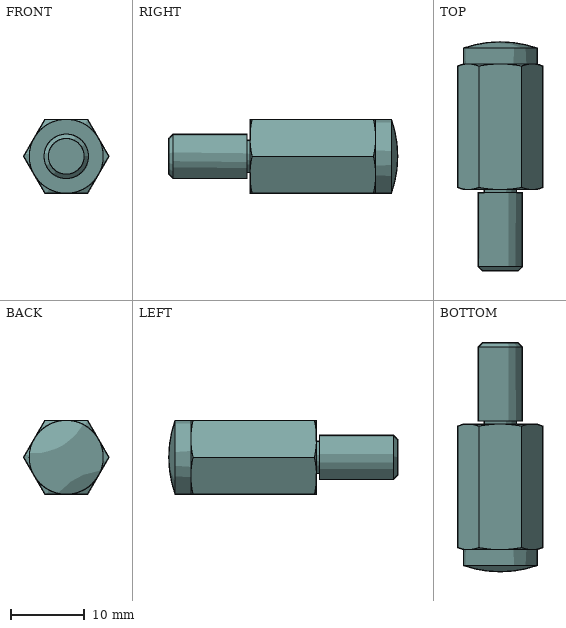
import cadquery as cq
import math

total_length = 31.0
across_flats = 10.0
stud_length = 11.0
stud_diameter = 6.0
stud_chamfer = 0.6
neck_diameter = 4.4
neck_length = 0.4
hex_length = 17.0
hex_chamfer_angle = 20.0
dome_radius = 15.0

cap_radius = across_flats / 2
corner_radius = cap_radius / math.cos(math.radians(30))
hex_chamfer_height = (corner_radius - cap_radius) * math.tan(math.radians(hex_chamfer_angle))
dome_height = dome_radius - math.sqrt(dome_radius**2 - cap_radius**2)
hex_start = stud_length
hex_end = hex_start + hex_length
dome_start = total_length - dome_height


def make_stud():
    """Chamfered stud joined to the body by a short undercut neck."""
    stud_radius = stud_diameter / 2
    neck_radius = neck_diameter / 2
    neck_start = stud_length - neck_length
    return (
        cq.Workplane("XY")
        .lineTo(stud_radius - stud_chamfer, 0)
        .lineTo(stud_radius, stud_chamfer)
        .lineTo(stud_radius, neck_start)
        .lineTo(neck_radius, neck_start)
        .lineTo(neck_radius, hex_start)
        .lineTo(0, hex_start)
        .close()
        .revolve(360, (0, 0), (0, 1))
    )


def make_hex_body():
    """Hexagonal bar whose corners are turned off conically at both ends."""
    bar = (
        cq.Workplane("XZ", origin=(0, hex_start, 0))
        .polygon(6, 2 * corner_radius)
        .extrude(-hex_length)
    )
    turned_envelope = (
        cq.Workplane("XY")
        .moveTo(0, hex_start)
        .lineTo(cap_radius, hex_start)
        .lineTo(corner_radius, hex_start + hex_chamfer_height)
        .lineTo(corner_radius, hex_end - hex_chamfer_height)
        .lineTo(cap_radius, hex_end)
        .lineTo(0, hex_end)
        .close()
        .revolve(360, (0, 0), (0, 1))
    )
    return bar.intersect(turned_envelope)


def make_cap():
    """Round cap, as wide as the flats, closed by a spherical dome."""
    half_angle = math.asin(cap_radius / dome_radius) / 2
    arc_middle = (
        dome_radius * math.sin(half_angle),
        total_length - dome_radius * (1 - math.cos(half_angle)),
    )
    return (
        cq.Workplane("XY")
        .moveTo(0, hex_end)
        .lineTo(cap_radius, hex_end)
        .lineTo(cap_radius, dome_start)
        .threePointArc(arc_middle, (0, total_length))
        .close()
        .revolve(360, (0, 0), (0, 1))
    )


result = make_stud().union(make_hex_body()).union(make_cap())